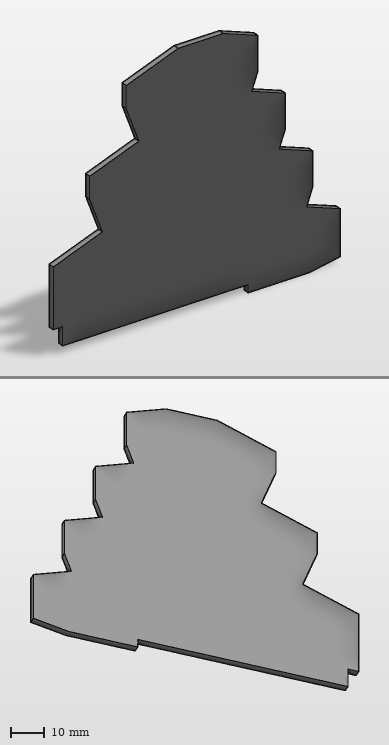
import cadquery as cq
import math

thickness = 2.2
length = 104.5
height = 92.1

roof_slope = math.tan(math.radians(20))
undercut_slope = math.tan(math.radians(70))

rear_edge = length / 2
rear_steps = 3
rear_tier_run = 30.0 / rear_steps
rear_tier_rise = 23.0
rear_corner_z = 18.5
rear_ledge_run = 12.2

front_edge = -length / 2
front_steps = 2
front_tier_run = 13.3
front_tier_rise = 27.1
front_corner_z = 31.0
front_ledge_run = 17.9

foot_length = 33.5
foot_ramp_run = 11.3
foot_ramp_rise = 2.0
base_z = 2.8
notch_depth = 3.5
notch_top_z = 9.4


def stepped_side(edge_y, inward, corner_z, steps, tier_run, tier_rise, ledge_run):
    """Points up one stepped side to the flat top; inward is the sign of Y toward the middle."""
    undercut_rise = (ledge_run - tier_run) * undercut_slope
    points = []
    for step in range(steps):
        y = edge_y + inward * step * tier_run
        z = corner_z + step * tier_rise
        valley_y = y + inward * ledge_run
        valley_z = z + ledge_run * roof_slope
        points.append((y, z))
        points.append((valley_y, valley_z))
        points.append((y + inward * tier_run, valley_z + undercut_rise))

    top_corner_y = edge_y + inward * steps * tier_run
    top_corner_z = corner_z + steps * tier_rise
    roof_run = (height - top_corner_z) / roof_slope
    points.append((top_corner_y, top_corner_z))
    points.append((top_corner_y + inward * roof_run, height))
    return points


rear_side = stepped_side(
    rear_edge, -1, rear_corner_z, rear_steps, rear_tier_run, rear_tier_rise, rear_ledge_run
)
front_side = stepped_side(
    front_edge, 1, front_corner_z, front_steps, front_tier_run, front_tier_rise, front_ledge_run
)
bottom_edge = [
    (front_edge, notch_top_z),
    (front_edge + notch_depth, notch_top_z),
    (front_edge + notch_depth, base_z),
    (rear_edge - foot_length, base_z),
    (rear_edge - foot_length, 0),
    (rear_edge - foot_ramp_run, 0),
    (rear_edge, foot_ramp_rise),
]

outline = rear_side + front_side[::-1] + bottom_edge

result = cq.Workplane("YZ").polyline(outline).close().extrude(thickness / 2, both=True)